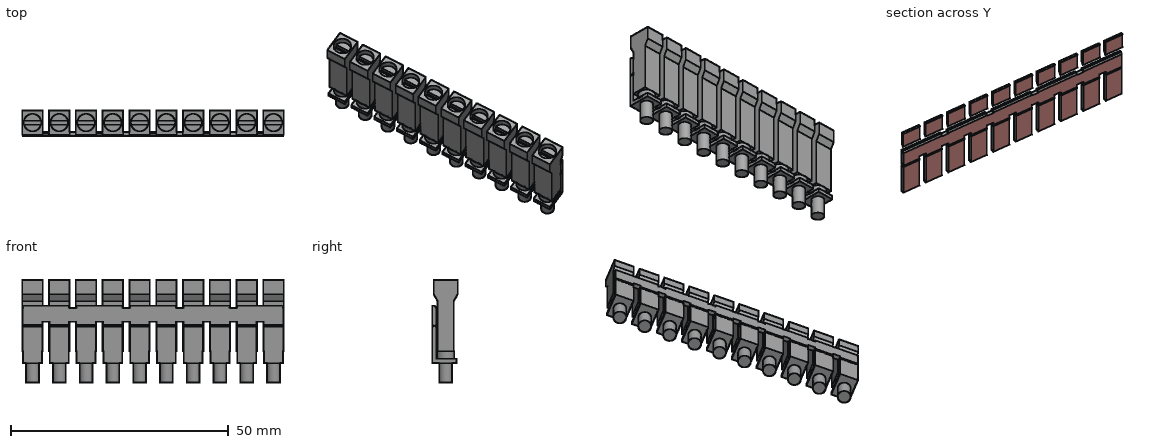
import cadquery as cq

POST_COUNT = 10
OVERALL_LENGTH = 60.1
POST_WIDTH = 4.75
PITCH = (OVERALL_LENGTH - POST_WIDTH) / (POST_COUNT - 1)

TOTAL_HEIGHT = 23.6
TOTAL_DEPTH = 5.92
HEAD_DEPTH = 5.6
NECK_DEPTH = 3.8
HEAD_BOTTOM_Z = 20.35
NECK_TOP_Z = 18.75
POST_BOTTOM_Z = 7.2
AXIS_Y = TOTAL_DEPTH - HEAD_DEPTH / 2

SCREW_HEAD_DIAMETER = 4.0
SHANK_DIAMETER = 3.0
RECESS_DEPTH = 1.6
SLOT_WIDTH = 0.9
SLOT_DEPTH = 1.0

TAB_WIDTH = 4.4
TAB_GAP = PITCH - TAB_WIDTH
BAR_LENGTH = PITCH * (POST_COUNT - 1) + TAB_WIDTH
PLATE_THICKNESS = 1.0
BAR_TOP_Z = 17.7
GAP_TOP_Z = 13.95
FOOT_BOTTOM_Z = 4.5
FOOT_TOP_Z = FOOT_BOTTOM_Z + PLATE_THICKNESS
FOOT_BACK_Y = 5.65
BACK_CHAMFER_DEPTH = 0.5
BACK_CHAMFER_HEIGHT = 0.45
NOTCH_DEPTH = 0.5

GROOVE_TOP_Z = 13.3
GROOVE_BOTTOM_Z = 12.8
GROOVE_MIDDLE_Z = (GROOVE_TOP_Z + GROOVE_BOTTOM_Z) / 2
GROOVE_DEPTH = 0.3


def post_x(index):
    """Centre of a post along the row."""
    return (index - (POST_COUNT - 1) / 2) * PITCH


def extrude_along_x(yz_points, length):
    """Extrude a YZ outline symmetrically about X = 0."""
    return cq.Workplane("YZ").polyline(yz_points).close().extrude(length / 2, both=True)


def cylinder(diameter, bottom_z, top_z):
    """Vertical cylinder on the screw axis."""
    base = cq.Workplane("XY", origin=(0, AXIS_Y, bottom_z))
    return base.circle(diameter / 2).extrude(top_z - bottom_z)


def box(width, y_range, z_range):
    """Box centred on X = 0 between the given Y and Z limits."""
    y0, y1 = y_range
    z0, z1 = z_range
    return cq.Workplane("XY", origin=(0, (y0 + y1) / 2, z0)).rect(width, y1 - y0).extrude(z1 - z0)


def make_post():
    """Post with its slotted screw, centred on X = 0."""
    head = HEAD_DEPTH / 2
    neck = NECK_DEPTH / 2
    outline = [
        (AXIS_Y - head, TOTAL_HEIGHT),
        (AXIS_Y + head, TOTAL_HEIGHT),
        (AXIS_Y + head, HEAD_BOTTOM_Z),
        (AXIS_Y + neck, NECK_TOP_Z),
        (AXIS_Y + neck, POST_BOTTOM_Z),
        (AXIS_Y - neck, POST_BOTTOM_Z),
        (AXIS_Y - neck, NECK_TOP_Z),
        (AXIS_Y - head, HEAD_BOTTOM_Z),
    ]
    screw_top_z = TOTAL_HEIGHT - RECESS_DEPTH
    slot_bottom_z = screw_top_z - SLOT_DEPTH
    recess = cylinder(SCREW_HEAD_DIAMETER, screw_top_z, TOTAL_HEIGHT)
    slot_y = (AXIS_Y - SLOT_WIDTH / 2, AXIS_Y + SLOT_WIDTH / 2)
    slot_box = box(SCREW_HEAD_DIAMETER, slot_y, (slot_bottom_z, screw_top_z))
    slot = slot_box.intersect(cylinder(SCREW_HEAD_DIAMETER, slot_bottom_z, screw_top_z))
    collar = cylinder(SCREW_HEAD_DIAMETER, FOOT_TOP_Z, POST_BOTTOM_Z)
    shank = cylinder(SHANK_DIAMETER, 0, FOOT_TOP_Z)
    body = extrude_along_x(outline, POST_WIDTH).cut(recess).cut(slot)
    return body.union(collar).union(shank)


def make_bar():
    """Grooved L-profile bar, slotted into tabs below and notched above every second gap."""
    profile = [
        (0, FOOT_BOTTOM_Z),
        (FOOT_BACK_Y, FOOT_BOTTOM_Z),
        (FOOT_BACK_Y, FOOT_TOP_Z),
        (PLATE_THICKNESS, FOOT_TOP_Z),
        (PLATE_THICKNESS, GROOVE_BOTTOM_Z),
        (PLATE_THICKNESS - GROOVE_DEPTH, GROOVE_MIDDLE_Z),
        (PLATE_THICKNESS, GROOVE_TOP_Z),
        (PLATE_THICKNESS, BAR_TOP_Z - BACK_CHAMFER_HEIGHT),
        (PLATE_THICKNESS - BACK_CHAMFER_DEPTH, BAR_TOP_Z),
        (0, BAR_TOP_Z),
        (0, GROOVE_TOP_Z),
        (GROOVE_DEPTH, GROOVE_MIDDLE_Z),
        (0, GROOVE_BOTTOM_Z),
    ]
    bar = extrude_along_x(profile, BAR_LENGTH)
    tab_gap = box(TAB_GAP, (0, FOOT_BACK_Y), (FOOT_BOTTOM_Z, GAP_TOP_Z))
    top_notch = box(TAB_GAP, (0, PLATE_THICKNESS), (BAR_TOP_Z - NOTCH_DEPTH, BAR_TOP_Z))
    for gap in range(POST_COUNT - 1):
        gap_x = post_x(gap + 0.5)
        bar = bar.cut(tab_gap.translate((gap_x, 0, 0)))
        if gap % 2 == 1:
            bar = bar.cut(top_notch.translate((gap_x, 0, 0)))
    return bar


post = make_post()
result = make_bar()
for index in range(POST_COUNT):
    result = result.union(post.translate((post_x(index), 0, 0)))